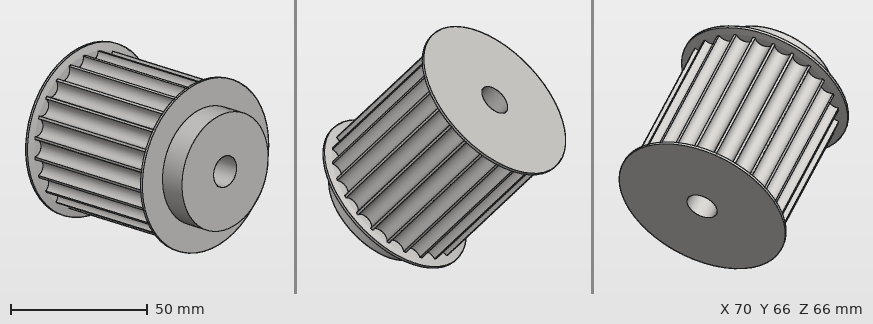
import cadquery as cq
import math

tooth_count = 24
tip_radius = 29.87
land_width = 1.03
groove_depth = 3.4

flange_radius = 33.0
flange_rim_width = 1.0
flange_root_width = 1.5
flange_span = 60.0
hub_radius = 22.5
bore_radius = 6.0
total_length = 70.0

tooth_pitch_angle = 360.0 / tooth_count


def pulley_blank():
    """Body, two flanges with conical inner faces, and hub, revolved about X."""
    left_root = flange_root_width
    right_root = flange_span - flange_root_width
    return (
        cq.Workplane("XY")
        .moveTo(0, bore_radius)
        .lineTo(0, flange_radius)
        .lineTo(flange_rim_width, flange_radius)
        .lineTo(left_root, tip_radius)
        .lineTo(right_root, tip_radius)
        .lineTo(flange_span - flange_rim_width, flange_radius)
        .lineTo(flange_span, flange_radius)
        .lineTo(flange_span, hub_radius)
        .lineTo(total_length, hub_radius)
        .lineTo(total_length, bore_radius)
        .close()
        .revolve(360, (0, 0, 0), (1, 0, 0))
    )


def belt_groove():
    """Round-bottomed groove along the -Y side, between the inner flange faces."""
    land_angle = math.degrees(land_width / tip_radius)
    half_opening_angle = math.radians((tooth_pitch_angle - land_angle) / 2)
    half_opening = tip_radius * math.sin(half_opening_angle)
    edge_y = -tip_radius * math.cos(half_opening_angle)
    floor_y = groove_depth - tip_radius
    return (
        cq.Workplane("YZ", origin=(flange_root_width, 0, 0))
        .moveTo(edge_y, half_opening)
        .threePointArc((floor_y, 0), (edge_y, -half_opening))
        .threePointArc((-tip_radius, 0), (edge_y, half_opening))
        .close()
        .extrude(flange_span - 2 * flange_root_width)
    )


result = pulley_blank()
groove = belt_groove()
for index in range(tooth_count):
    result = result.cut(groove.rotate((0, 0, 0), (1, 0, 0), index * tooth_pitch_angle))